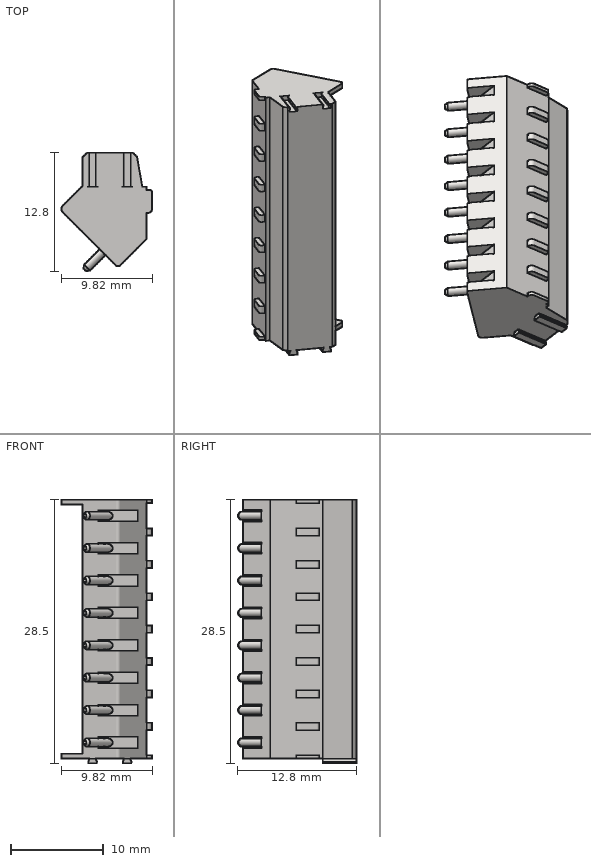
import cadquery as cq
import math


total_height = 28.5
rail_height = 0.5
position_count = 8
body_height = total_height - rail_height
pitch = body_height / position_count

right_wall_x = 6.95
plug_depth = 3.68
shoulder_depth = 3.62
back_left_chamfer = 0.5
back_right_x = 5.47
back_right_chamfer = 0.45
taper_end_x = 6.5
flank_depth = 8.55
right_wall_end = 9.32
shoulder_radius = 0.48
heel_radius = 0.3

plate_thickness = 0.55

nub_protrusion = 0.6
nub_thickness = 0.8
nub_back = 4.02
nub_front = 6.53
nub_back_radius = 0.28
nub_front_radius = 0.45

slot_floor_depth = 10.3
slot_height = 1.2
total_depth = 12.82
pin_radius = 0.45
pin_tip_radius = 0.23
pin_tip_length = 0.35
pin_root_x = 2.65
pin_embedment = 0.85

joint_centres_x = (1.1, 4.85)
rail_root_half = 0.35
rail_wide_half = 0.48
rail_tip_half = 0.45
rail_tip_chamfer_height = 0.17
groove_neck_half = 0.37
groove_lip_radius = 0.17
groove_bulge = 0.09
groove_depth = rail_height

SIN_45 = math.sqrt(0.5)


def make_body():
    """Full housing outline, extruded over the whole height, with the corners rounded."""
    shoulder_tip_x = (shoulder_depth - flank_depth) / 2
    shoulder_tip_y = -(shoulder_depth + flank_depth) / 2
    heel_x = (right_wall_x + right_wall_end - flank_depth) / 2
    heel_y = -(flank_depth + heel_x)
    outline = [
        (0, -back_left_chamfer),
        (back_left_chamfer, 0),
        (back_right_x, 0),
        (back_right_x + back_right_chamfer, -back_right_chamfer),
        (taper_end_x, -plug_depth),
        (right_wall_x, -plug_depth),
        (right_wall_x, -right_wall_end),
        (heel_x, heel_y),
        (shoulder_tip_x, shoulder_tip_y),
        (0, -shoulder_depth),
    ]
    body = cq.Workplane("XY").polyline(outline).close().extrude(body_height)
    body = body.edges("|Z").edges("<X").fillet(shoulder_radius)
    return body.edges("|Z").edges("<Y").fillet(heel_radius)


def make_shoulder_relief():
    """Oversized block left of the left wall, between the two end plates."""
    return (
        cq.Workplane("XY", origin=(0, 0, plate_thickness))
        .rect(-total_depth, -total_depth, centered=False)
        .extrude(body_height - 2 * plate_thickness)
    )


def make_nub(joint_index):
    """Latch nub centred on a joint; the first and last are halved by the body ends."""
    joint_z = joint_index * pitch
    bottom = max(joint_z - nub_thickness / 2, 0)
    top = min(joint_z + nub_thickness / 2, body_height)
    nub = (
        cq.Workplane("XY", origin=(0, 0, bottom))
        .moveTo(taper_end_x, -nub_back)
        .lineTo(right_wall_x + nub_protrusion, -nub_back)
        .lineTo(right_wall_x + nub_protrusion, -nub_front)
        .lineTo(taper_end_x, -nub_front)
        .close()
        .extrude(top - bottom)
    )
    nub = nub.edges("|Z and >X and >Y").fillet(nub_back_radius)
    return nub.edges("|Z and >X and <Y").fillet(nub_front_radius)


def make_slot(centre_z):
    """Oversized block that cuts a slot across the heel, open to the front and to both sides."""
    return (
        cq.Workplane("XY", origin=(0, -slot_floor_depth, centre_z))
        .box(2 * total_depth, total_depth, slot_height, centered=(True, False, True))
        .translate((0, -total_depth, 0))
    )


def make_pin(centre_z):
    """Round pin, square to the seating face, with a coned tip."""
    tip_y = pin_tip_radius * SIN_45 - total_depth
    tip_x = pin_root_x + slot_floor_depth + tip_y
    length = (-slot_floor_depth - tip_y) / SIN_45 + pin_embedment
    half_section = [
        (0, 0),
        (pin_tip_radius, 0),
        (pin_radius, pin_tip_length),
        (pin_radius, length),
        (0, length),
    ]
    section_plane = cq.Plane(origin=(tip_x, tip_y, centre_z), xDir=(1, -1, 0), normal=(0, 0, 1))
    return cq.Workplane(section_plane).polyline(half_section).close().revolve(360, (0, 0), (0, 1))


def make_rail(centre_x):
    """Dovetail rail under the back section, narrow at the root."""
    wide_z = rail_tip_chamfer_height - rail_height
    return (
        cq.Workplane("XZ", origin=(centre_x, 0, 0))
        .moveTo(-rail_root_half, 0)
        .lineTo(-rail_wide_half, wide_z)
        .lineTo(-rail_tip_half, -rail_height)
        .lineTo(rail_tip_half, -rail_height)
        .lineTo(rail_wide_half, wide_z)
        .lineTo(rail_root_half, 0)
        .close()
        .extrude(plug_depth)
    )


def make_groove(centre_x):
    """Groove in the top with rounded lips and hollowed side walls."""
    lip_half = groove_neck_half + groove_lip_radius
    lip_middle_half = lip_half - groove_lip_radius * SIN_45
    lip_middle_z = groove_lip_radius * (SIN_45 - 1)
    bulge_half = groove_neck_half + groove_bulge
    bulge_z = -(groove_lip_radius + groove_depth) / 2
    return (
        cq.Workplane("XZ", origin=(centre_x, 0, body_height))
        .moveTo(-lip_half, 0)
        .threePointArc((-lip_middle_half, lip_middle_z), (-groove_neck_half, -groove_lip_radius))
        .threePointArc((-bulge_half, bulge_z), (-groove_neck_half, -groove_depth))
        .lineTo(groove_neck_half, -groove_depth)
        .threePointArc((bulge_half, bulge_z), (groove_neck_half, -groove_lip_radius))
        .threePointArc((lip_middle_half, lip_middle_z), (lip_half, 0))
        .close()
        .extrude(plug_depth)
    )


result = make_body().cut(make_shoulder_relief())
for joint in range(position_count + 1):
    result = result.union(make_nub(joint))
for centre in joint_centres_x:
    result = result.cut(make_groove(centre)).union(make_rail(centre))
for position in range(position_count):
    position_z = (position + 0.5) * pitch
    result = result.cut(make_slot(position_z)).union(make_pin(position_z))